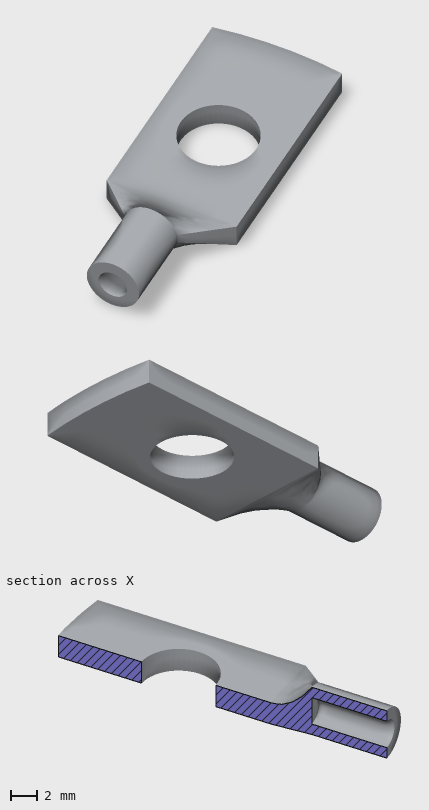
import cadquery as cq
import math

total_length = 28.45
plate_width = 11.0
plate_thickness = 2.02
end_sagitta = 0.43
barrel_length = 6.48
barrel_diameter = 4.45
bore_diameter = 2.42
neck_length = 3.53
neck_steps = 4
overall_height = 4.65
hole_diameter = 6.4
hole_y = 18.0

barrel_axis_z = overall_height - barrel_diameter / 2
plate_start = barrel_length + neck_length
half_width = plate_width / 2


def make_plate():
    """Flat tongue with a bowed far end and a stud hole."""
    side_end = total_length - end_sagitta
    return (
        cq.Workplane("XY")
        .moveTo(-half_width, plate_start)
        .lineTo(half_width, plate_start)
        .lineTo(half_width, side_end)
        .threePointArc((0, total_length), (-half_width, side_end))
        .close()
        .extrude(plate_thickness)
        .moveTo(0, hole_y)
        .circle(hole_diameter / 2)
        .cutThruAll()
    )


def barrel_cylinder(diameter):
    """Cylinder along the barrel axis, as long as the barrel."""
    return (
        cq.Workplane("XZ")
        .center(0, barrel_axis_z)
        .circle(diameter / 2)
        .extrude(-barrel_length)
    )


def blend(start, end, fraction):
    """Value the given fraction of the way from start to end."""
    return start + (end - start) * fraction


def neck_section(fraction):
    """Neck outline between the plate end (fraction 0) and the barrel rim (fraction 1)."""
    radius = barrel_diameter / 2
    diagonal_angle = math.atan2(plate_thickness, plate_width)
    rim_corner_z = radius * math.sin(diagonal_angle)
    corner_x = blend(half_width, radius * math.cos(diagonal_angle), fraction)
    top_corner_z = blend(plate_thickness, barrel_axis_z + rim_corner_z, fraction)
    bottom_corner_z = blend(0, barrel_axis_z - rim_corner_z, fraction)
    side_x = blend(half_width, radius, fraction)
    side_z = blend(plate_thickness / 2, barrel_axis_z, fraction)
    top_z = blend(plate_thickness, overall_height, fraction**2)
    bottom_z = blend(0, barrel_axis_z - radius, fraction)

    section_y = blend(plate_start, barrel_length, fraction)
    outline = cq.Workplane("XZ", origin=(0, section_y, 0)).moveTo(-corner_x, bottom_corner_z)
    if fraction == 0:
        outline = (
            outline.lineTo(corner_x, bottom_corner_z)
            .lineTo(corner_x, top_corner_z)
            .lineTo(-corner_x, top_corner_z)
            .close()
        )
    else:
        outline = (
            outline.threePointArc((0, bottom_z), (corner_x, bottom_corner_z))
            .threePointArc((side_x, side_z), (corner_x, top_corner_z))
            .threePointArc((0, top_z), (-corner_x, top_corner_z))
            .threePointArc((-side_x, side_z), (-corner_x, bottom_corner_z))
            .close()
        )
    return outline.val()


def make_neck():
    """Transition from the rectangular plate end to the round barrel."""
    sections = [neck_section(i / neck_steps) for i in range(neck_steps + 1)]
    return cq.Workplane(cq.Solid.makeLoft(sections))


result = (
    make_plate()
    .union(make_neck())
    .union(barrel_cylinder(barrel_diameter))
    .cut(barrel_cylinder(bore_diameter))
)